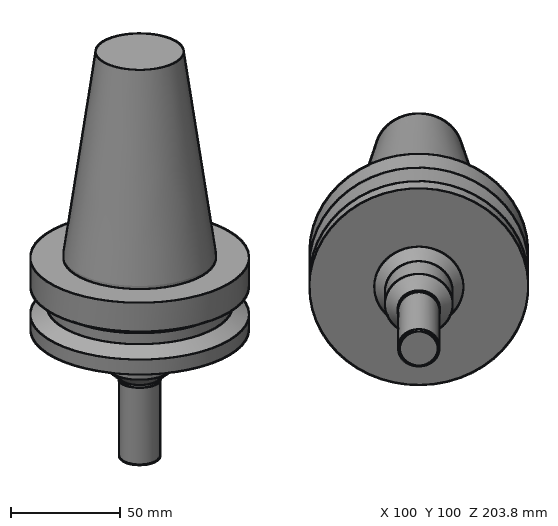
import cadquery as cq

total_height = 203.8
flange_bottom = 64.5
flange_top = 100.5
collar_height = 1.5

taper_large_diameter = 70.0
taper_small_diameter = 40.4

flange_diameter = 100.0
groove_diameter = 85.0
lower_rim_height = 7.5
upper_rim_height = 14.5
groove_flank_height = 4.3

nose_diameter = 31.0
nose_top_diameter = 40.8
nose_bottom = 46.0
nose_cone_height = 5.0

pin_diameter = 19.0
pin_top = 39.3
neck_diameter = 19.4
neck_height = 1.5
pin_chamfer = 0.8


def tapered_shank():
    """Short cylindrical collar followed by the long cone."""
    collar = cq.Workplane("XY").workplane(offset=flange_top).circle(taper_large_diameter / 2)
    collar = collar.extrude(collar_height)
    cone_bottom = flange_top + collar_height
    cone = (
        cq.Workplane("XY")
        .workplane(offset=cone_bottom)
        .circle(taper_large_diameter / 2)
        .workplane(offset=total_height - cone_bottom)
        .circle(taper_small_diameter / 2)
        .loft(ruled=True)
    )
    return collar.union(cone)


def revolved(half_profile):
    """Solid of revolution about Z from (radius, height) points, closed along the axis."""
    bottom = half_profile[0][1]
    top = half_profile[-1][1]
    outline = [(0, bottom)] + half_profile + [(0, top)]
    return cq.Workplane("XZ").polyline(outline).close().revolve(360, (0, 0), (0, 1))


def flange():
    rim = flange_diameter / 2
    root = groove_diameter / 2
    groove_bottom = flange_bottom + lower_rim_height
    groove_top = flange_top - upper_rim_height
    return revolved([
        (rim, flange_bottom),
        (rim, groove_bottom),
        (root, groove_bottom + groove_flank_height),
        (root, groove_top - groove_flank_height),
        (rim, groove_top),
        (rim, flange_top),
    ])


def nose_and_pin():
    pin = pin_diameter / 2
    neck = neck_diameter / 2
    nose = nose_diameter / 2
    return revolved([
        (pin - pin_chamfer, 0),
        (pin, pin_chamfer),
        (pin, pin_top),
        (neck, pin_top),
        (neck, pin_top + neck_height),
        (nose, nose_bottom),
        (nose, flange_bottom - nose_cone_height),
        (nose_top_diameter / 2, flange_bottom),
    ])


result = tapered_shank().union(flange()).union(nose_and_pin())